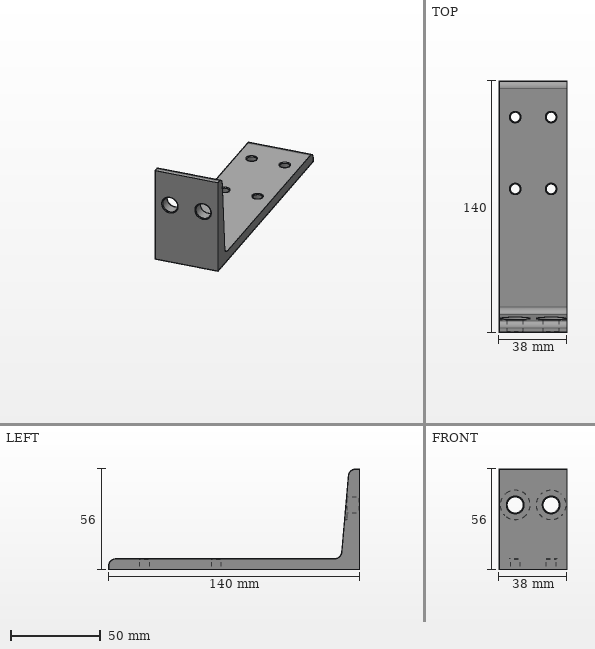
import cadquery as cq
import math

width = 38.0
length = 140.0
height = 56.0

thickness = 6.0
taper_angle = 5.0
edge_radius = 4.0
upright_root = thickness + (height - thickness) * math.tan(math.radians(taper_angle))

hole_pitch = 20.0
end_distance = 20.0
base_row_pitch = 40.0
base_hole_diameter = 5.5
base_hole_mouth = 6.5
upright_hole_diameter = 9.0
upright_hole_mouth = 10.0
spotface_diameter = 16.5
spotface_floor = 7.0


def bracket_body():
    """L-section extruded across the width, with its outer face on Y = 0 and its base on Z = 0."""
    section = (
        cq.Workplane("YZ")
        .moveTo(0, 0)
        .lineTo(length, 0)
        .lineTo(length, thickness)
        .lineTo(upright_root, thickness)
        .lineTo(thickness, height)
        .lineTo(0, height)
        .close()
    )
    body = section.extrude(width / 2, both=True)
    rounded_edges = (
        (length, thickness),
        (upright_root, thickness),
        (thickness, height),
    )
    for y, z in rounded_edges:
        edge = cq.selectors.NearestToPointSelector((0, y, z))
        body = body.edges("|X").edges(edge).fillet(edge_radius)
    return body


def chamfered_hole(position, direction, depth, diameter, mouth):
    """Cutter for a through hole with a 45 degree chamfer at its starting mouth."""
    start = cq.Vector(*position)
    axis = cq.Vector(*direction)
    bore = cq.Solid.makeCylinder(diameter / 2, depth, start, axis)
    chamfer = cq.Solid.makeCone(mouth / 2, diameter / 2, (mouth - diameter) / 2, start, axis)
    return bore.fuse(chamfer)


result = bracket_body()
for x in (-hole_pitch / 2, hole_pitch / 2):
    far_row = length - end_distance
    for y in (far_row, far_row - base_row_pitch):
        result = result.cut(
            chamfered_hole((x, y, thickness), (0, 0, -1), thickness, base_hole_diameter, base_hole_mouth)
        )
    seat_centre = cq.Vector(x, spotface_floor, height - end_distance)
    seat = cq.Solid.makeCylinder(spotface_diameter / 2, upright_root, seat_centre, cq.Vector(0, 1, 0))
    result = result.cut(seat)
    result = result.cut(
        chamfered_hole(
            (x, 0, height - end_distance), (0, 1, 0), upright_root, upright_hole_diameter, upright_hole_mouth
        )
    )